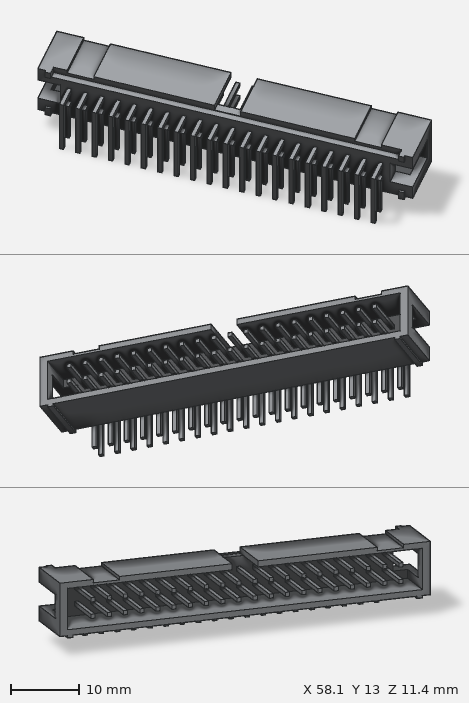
import cadquery as cq


length = 58.1
depth = 8.5
height = 8.2
cavity_depth = 6.1
end_wall = 1.2
top_wall = 0.95
bottom_wall = 0.95

window_width = 3.5
window_height = 3.65
window_back_wall = 1.9

key_width = 4.05
recess_width = 4.1
recess_depth = 0.5
left_recess_offset = 4.2
right_recess_offset = 5.2
rebate = 1.05

lug_width = 0.9
lug_projection = 0.35
foot_drop = 0.35
foot_lug_height = 1.4

pin_count = 20
row_span = 48.3
pitch = row_span / (pin_count - 1)
pin = 0.65
tail_bottom = -3.2
mating_projection = 0.8
tail_reach = 3.65


def block(x, y, z):
    """Box between the two limits given for each axis."""
    size = [high - low for low, high in (x, y, z)]
    return cq.Workplane("XY").box(*size, centered=False).translate((x[0], y[0], z[0]))


def both_ends(shape):
    """The shape together with its mirror image at the other end of the header."""
    return shape.union(shape.mirror("YZ"))


def make_recesses():
    """Shallow bands across the top face, set at different distances from the two ends."""
    left_start = -length / 2 + left_recess_offset
    right_start = length / 2 - right_recess_offset - recess_width
    recess_z = (height - recess_depth, height)
    left_recess = block((left_start, left_start + recess_width), (0, depth), recess_z)
    right_recess = block((right_start, right_start + recess_width), (0, depth), recess_z)
    return left_recess.union(right_recess)


def make_housing():
    left = -length / 2
    cavity_floor = depth - cavity_depth
    window_bottom = (height - window_height) / 2
    rebate_half = length / 2 - end_wall - lug_width

    body = block((left, -left), (0, depth), (0, height))
    cavity = block(
        (left + end_wall, -left - end_wall),
        (cavity_floor, depth),
        (bottom_wall, height - top_wall),
    )
    window = block(
        (left, left + window_width),
        (0, depth - window_back_wall),
        (window_bottom, window_bottom + window_height),
    )
    key_slot = block((-key_width / 2, key_width / 2), (0, depth), (height - top_wall, height))
    edge_rebate = block((-rebate_half, rebate_half), (0, rebate), (height - rebate, height))

    body = body.cut(cavity).cut(both_ends(window))
    return body.cut(key_slot).cut(make_recesses()).cut(edge_rebate)


def make_lugs_and_feet():
    lug_left = -length / 2 + end_wall
    lug_x = (lug_left, lug_left + lug_width)
    top_lug = block(lug_x, (-lug_projection, rebate), (height - rebate, height))
    foot_lug = block(lug_x, (-lug_projection, 0), (-foot_drop, foot_lug_height - foot_drop))
    foot_rib = block(lug_x, (-lug_projection, depth), (-foot_drop, 0))
    return both_ends(top_lug.union(foot_lug).union(foot_rib))


def make_pin(x, row_z, tail_y):
    """L-shaped square pin: a straight mating leg along Y and a solder tail pointing down."""
    half = pin / 2
    pin_x = (x - half, x + half)
    leg = block(pin_x, (tail_y - half, depth + mating_projection), (row_z - half, row_z + half))
    tail = block(pin_x, (tail_y - half, tail_y + half), (tail_bottom, row_z + half))
    return leg.union(tail)


result = make_housing().union(make_lugs_and_feet())

upper_z = height / 2 + pitch / 2
outer_tail_y = -tail_reach + pin / 2
for index in range(pin_count):
    column_x = index * pitch - row_span / 2
    for row in range(2):
        result = result.union(make_pin(column_x, upper_z - row * pitch, outer_tail_y + row * pitch))